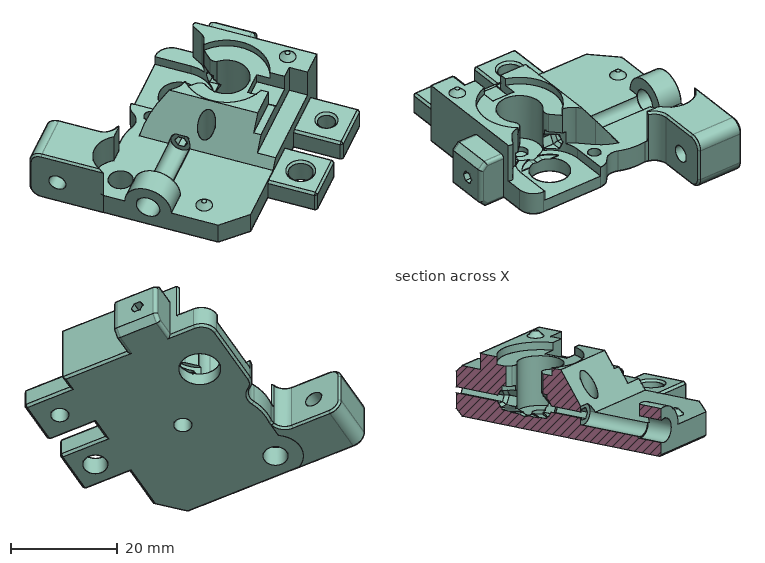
import cadquery as cq
import math

plate_height = 5.0
tab_height = 4.75
arm_height = 11.35
housing_height = 13.15
recess_floor = 11.65
slot_floor = 9.75
side_step_floor = 9.95
side_notch_floor = 7.05
cavity_ceiling = 7.6
cavity_floor = 2.95
bore_floor = 1.9
edge_chamfer = 0.45

plate_length = 41.0
plate_right = 42.4
plate_left = 11.4
corner_chamfer = 4.75
corner_radius = 3.25
waist_left = 13.05
waist_top = 13.05

gear_x = 28.05
gear_y = 31.0
bore_diameter = 8.8
recess_diameter = 16.3
shaft_hole_diameter = 3.2
shaft_hole_depth = 1.05
idler_x = 18.6
idler_hole_diameter = 7.8
cavity_radius = 6.5
washer_radius = 5.2
washer_depth = 0.15
washer_left = 21.6
vee_half_width = 1.1
vee_depth = 0.3

slope_foot_y = 17.0
slope_crest_y = 22.7
slope_hole_y = 20.0
slope_hole_diameter = 3.4

path_x = 23.7
path_z = plate_height
path_hex = 2.5
flare_hex = 3.8
flare_half_length = 5.3
flare_end = 6.05
boss_radius = 4.65
boss_length = 5.0
fitting_diameter = 4.7
fitting_length = 5.2
tube_diameter = 4.15
tube_end_y = 18.2

block_left = 19.6
block_right = 28.75
block_back = 46.4
block_height = 10.0
block_chamfer = 1.35
block_round = 0.75

tab_right = 52.15
tab_width = 9.8
tab_hole_x = 47.2

arm_width = 10.05
arm_round = 2.4
arm_blend = waist_left - 10.25
arm_chamfer = 0.4
arm_hole_x = 5.65
arm_hole_z = 5.25
arm_hole_diameter = 3.4
arm_stock_right = 18.25
joint_screw_x = 16.45
joint_screw_y = 4.95
joint_screw_diameter = 4.7
joint_radius = 5.2
joint_neck_x = 13.5
joint_top_y = 12.15

cone_base_diameter = 3.15
cone_tip_diameter = 0.95
cone_height = 1.05

blind_hole_x = 16.0
blind_hole_y = 22.55
blind_hole_diameter = 2.5
blind_hole_depth = 2.6


def box(x0, x1, y0, y1, z0, z1):
    return cq.Workplane("XY").box(x1 - x0, y1 - y0, z1 - z0, centered=False).translate((x0, y0, z0))


def upright(x, y, diameter, z0, z1):
    """Vertical cylinder from z0 to z1."""
    return cq.Workplane("XY", origin=(x, y, z0)).circle(diameter / 2).extrude(z1 - z0)


def along_y(x, z, diameter, y0, y1):
    """Cylinder parallel to Y from y0 to y1."""
    return cq.Workplane("XZ", origin=(x, y0, z)).circle(diameter / 2).extrude(y0 - y1)


def hex_along_y(across_corners, y0, y1):
    return cq.Workplane("XZ", origin=(path_x, y0, path_z)).polygon(6, across_corners).extrude(y0 - y1)


def joint_zone():
    """Everything on the arm's side of the joint between arm and housing."""
    foot_x = joint_screw_x - math.sqrt(joint_radius**2 - joint_screw_y**2)
    neck_y = joint_screw_y + math.sqrt(joint_radius**2 - (joint_screw_x - joint_neck_x) ** 2)
    outside = -0.5
    return (
        cq.Workplane("XY", origin=(0, 0, outside))
        .moveTo(outside, outside)
        .lineTo(foot_x, outside)
        .lineTo(foot_x, 0)
        .threePointArc((joint_screw_x - joint_radius, joint_screw_y), (joint_neck_x, neck_y))
        .lineTo(joint_neck_x, joint_top_y)
        .lineTo(outside, joint_top_y)
        .close()
        .extrude(housing_height)
    )


def arm_blend_arc(outline, forward):
    """Concave quarter arc between the arm's back face and the plate's waist."""
    middle = arm_blend * (1 - math.sqrt(0.5))
    start = (waist_left - arm_blend, arm_width)
    end = (waist_left, arm_width + arm_blend)
    mid = (waist_left - middle, arm_width + middle)
    return outline.threePointArc(mid, end if forward else start)


def base_plate():
    outline = (
        cq.Workplane("XY")
        .moveTo(waist_left - arm_blend, 0)
        .lineTo(plate_right - corner_chamfer, 0)
        .lineTo(plate_right, corner_chamfer)
        .lineTo(plate_right, plate_length)
        .lineTo(plate_left + corner_radius, plate_length)
        .radiusArc((plate_left, plate_length - corner_radius), -corner_radius)
        .lineTo(plate_left, 24.45)
        .tangentArcPoint((12.65, 22.1), relative=False)
        .tangentArcPoint((13.7, 18.7), relative=False)
        .tangentArcPoint((waist_left, waist_top), relative=False)
        .lineTo(waist_left, arm_width + arm_blend)
    )
    outline = arm_blend_arc(outline, forward=False)
    return outline.close().extrude(plate_height).faces("<Z").chamfer(edge_chamfer)


def raised_housing():
    """Tall part behind the slope, open towards the idler."""
    wall_x = 21.6
    wall_half = 4.8
    bevel_x = 20.45
    bevel_half = 7.5
    shoulder_x = 17.85
    shoulder_half = 10.1
    body = (
        cq.Workplane("XY")
        .moveTo(15.75, slope_foot_y)
        .threePointArc((16.6, 19.1), (shoulder_x, gear_y - shoulder_half))
        .lineTo(bevel_x, gear_y - bevel_half)
        .threePointArc((21.4, gear_y - 6.15), (wall_x, gear_y - wall_half))
        .lineTo(wall_x, gear_y + wall_half)
        .threePointArc((21.4, gear_y + 6.15), (bevel_x, gear_y + bevel_half))
        .lineTo(18.2, 39.9)
        .threePointArc((18.0, 40.45), (18.25, plate_length))
        .lineTo(plate_right, plate_length)
        .lineTo(plate_right, slope_foot_y)
        .close()
        .extrude(housing_height)
    )
    profile = (
        cq.Workplane("YZ")
        .moveTo(slope_foot_y, 0)
        .lineTo(slope_foot_y, plate_height)
        .lineTo(slope_crest_y, housing_height)
        .lineTo(plate_length, housing_height)
        .lineTo(plate_length, 0)
        .close()
        .extrude(plate_right)
    )
    return body.intersect(profile).intersect(
        box(0, plate_right, 0, plate_length, cavity_floor, housing_height)
    )


def inlet_block():
    block = box(block_left, block_right, plate_length - 1.05, block_back, 0, block_height)
    block = block.edges("|X and >Y").chamfer(block_chamfer)
    return block.edges("(<X or >X) and (not <Y)").fillet(block_round)


def tab(back_y):
    body = box(plate_right - 1.05, tab_right, back_y - tab_width, back_y, 0, tab_height)
    return body.edges(">X or (|X and >Y) or (|X and <Y)").chamfer(edge_chamfer)


def chamfered_hole(x, y, diameter, rim_diameter, height):
    depth = (rim_diameter - diameter) / 2
    rim = (
        cq.Workplane("XY", origin=(x, y, height))
        .circle(rim_diameter / 2)
        .workplane(offset=-depth)
        .circle(diameter / 2)
        .loft()
    )
    return upright(x, y, diameter, 0, height).union(rim)


def locating_cone(x, y, base_z):
    return (
        cq.Workplane("XY", origin=(x, y, base_z))
        .circle(cone_base_diameter / 2)
        .workplane(offset=cone_height)
        .circle(cone_tip_diameter / 2)
        .loft()
    )


def gear_bore():
    """Bore, top recess, and the bevelled mouth towards the idler."""
    mouth_outer_half = 5.2
    mouth_inner_half = 3.35
    mouth_outer_x = 21.65
    mouth_inner_x = 23.5
    lip_x = 24.3
    lip_half = 3.1
    bore_x = 25.1
    bore_half = 3.25
    mouth = (
        cq.Workplane("XY", origin=(0, 0, cavity_floor))
        .moveTo(idler_x, gear_y - mouth_outer_half)
        .lineTo(mouth_outer_x, gear_y - mouth_outer_half)
        .lineTo(mouth_inner_x, gear_y - mouth_inner_half)
        .threePointArc((lip_x, gear_y - lip_half), (bore_x, gear_y - bore_half))
        .lineTo(bore_x, gear_y + bore_half)
        .threePointArc((lip_x, gear_y + lip_half), (mouth_inner_x, gear_y + mouth_inner_half))
        .lineTo(mouth_outer_x, gear_y + mouth_outer_half)
        .lineTo(idler_x, gear_y + mouth_outer_half)
        .close()
        .extrude(housing_height - cavity_floor)
    )
    return (
        upright(gear_x, gear_y, bore_diameter, bore_floor, housing_height)
        .union(upright(gear_x, gear_y, recess_diameter, recess_floor, housing_height))
        .union(upright(gear_x, gear_y, shaft_hole_diameter, bore_floor - shaft_hole_depth, housing_height))
        .union(mouth)
    )


def idler_pocket():
    """Slot with a round end, the idler hole, and the washer relief with its shallow vee."""
    slot = box(0, idler_x, gear_y - cavity_radius, gear_y + cavity_radius, cavity_floor, cavity_ceiling)
    round_end = upright(idler_x, gear_y, 2 * cavity_radius, cavity_floor, cavity_ceiling)
    relief_floor = cavity_floor - washer_depth
    washer = upright(idler_x, gear_y, 2 * washer_radius, relief_floor, cavity_ceiling)
    right_side = box(washer_left, gear_x, 0, plate_length, 0, housing_height)
    vee = (
        cq.Workplane("YZ", origin=(idler_x, gear_y, relief_floor))
        .polyline([(-vee_half_width, 0), (0, -vee_depth), (vee_half_width, 0)])
        .close()
        .extrude(washer_radius)
    )
    return (
        slot.union(round_end)
        .union(washer.intersect(right_side))
        .union(vee)
        .union(upright(idler_x, gear_y, idler_hole_diameter, 0, cavity_ceiling))
    )


def filament_path():
    """Fitting bore, tube trough and the hexagonal channel that widens beside the gear."""
    path = (
        along_y(path_x, path_z, fitting_diameter, 0, fitting_length)
        .union(along_y(path_x, path_z, tube_diameter, 0, tube_end_y))
        .union(hex_along_y(path_hex, 0, block_back))
        .union(hex_along_y(flare_hex, gear_y - flare_half_length, gear_y + flare_half_length))
    )
    for side in (-1, 1):
        taper = (
            cq.Workplane("XZ", origin=(path_x, gear_y + side * flare_half_length, path_z))
            .polygon(6, flare_hex)
            .workplane(offset=-side * (flare_end - flare_half_length))
            .polygon(6, path_hex)
            .loft()
        )
        path = path.union(taper)
    return path


def side_cuts():
    """Slot from the recess to the right, and the stepped notch in the right side."""
    slot_half = 2.45
    slot_left = 33.15
    notch_left = 38.75
    step_left = 37.3
    slot = box(slot_left, notch_left, gear_y - slot_half, gear_y + slot_half, slot_floor, housing_height)
    step = box(step_left, notch_left, slope_foot_y, 28.9, side_step_floor, housing_height)
    notch = box(notch_left, plate_right, slope_foot_y, 35.95, side_notch_floor, housing_height)
    return slot.union(step).union(notch)


def make_housing():
    body = base_plate().union(raised_housing()).union(inlet_block())
    boss = along_y(path_x, path_z, 2 * boss_radius, 0, boss_length)
    body = body.union(boss.intersect(box(0, plate_right, 0, boss_length, edge_chamfer, arm_height)))
    for tab_back in (38.05, 23.95):
        body = body.union(tab(tab_back))
    body = body.cut(gear_bore()).cut(idler_pocket()).cut(filament_path()).cut(side_cuts())
    body = body.cut(upright(gear_x, slope_hole_y, slope_hole_diameter, 0, housing_height))
    body = body.cut(upright(joint_screw_x, joint_screw_y, joint_screw_diameter, 0, plate_height))
    blind_bottom = plate_height - blind_hole_depth
    body = body.cut(upright(blind_hole_x, blind_hole_y, blind_hole_diameter, blind_bottom, plate_height))
    body = body.cut(chamfered_hole(tab_hole_x, 33.05, 3.4, 4.35, tab_height))
    body = body.cut(chamfered_hole(tab_hole_x, 18.95, 4.7, 5.6, tab_height))
    body = body.union(locating_cone(37.5, 38.5, housing_height))
    body = body.union(locating_cone(33.4, 4.05, plate_height))
    return body.cut(joint_zone())


def make_arm():
    outline = (
        cq.Workplane("XY")
        .moveTo(arm_stock_right, 0)
        .lineTo(0, 0)
        .lineTo(0, arm_width)
        .lineTo(waist_left - arm_blend, arm_width)
    )
    outline = arm_blend_arc(outline, forward=True)
    body = outline.lineTo(arm_stock_right, arm_width + arm_blend).close().extrude(arm_height)
    body = body.edges("<X and |Y").fillet(arm_round)
    body = body.faces("<Y").chamfer(arm_chamfer)
    back_edges = cq.selectors.BoxSelector((-0.5, arm_width - 0.05, -0.5), (7.8, arm_width + 0.05, arm_height + 0.5))
    body = body.edges(back_edges).chamfer(arm_chamfer)
    hole = along_y(arm_hole_x, arm_hole_z, arm_hole_diameter, 0, arm_width)
    return body.intersect(joint_zone()).cut(hole)


housing = make_housing()
arm = make_arm()
result = cq.Compound.makeCompound([housing.val(), arm.val()])